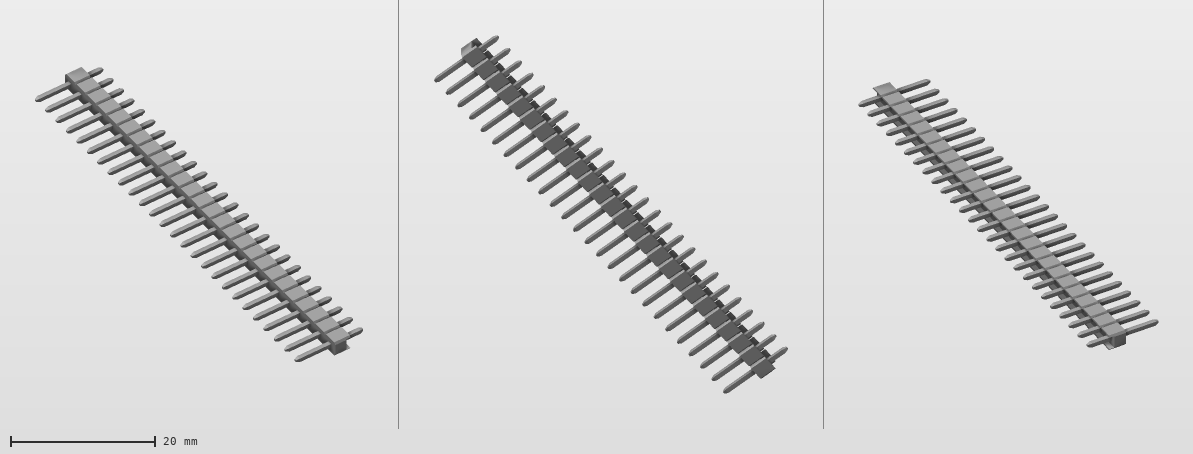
import cadquery as cq

pin_count = 26
strip_length = 66.05
pitch = strip_length / pin_count
body_height = 2.5

core_depth = 1.85
lip_reach = 0.7
lip_thickness = 0.25
body_depth = core_depth + lip_reach

chamfer_width = 0.25
chamfer_height = 0.3

pin_length = 11.2
pin_width = 0.65
pin_front_reach = 5.75
pin_offset = -0.1
tip_length = 0.5
tip_width = 0.3
pin_front = -pin_front_reach
pin_back = pin_front + pin_length


def segment_block():
    """One pitch of the body: a block along Y with its four long edges chamfered."""
    side = pitch / 2
    top = body_height / 2
    flat_edge = side - chamfer_width
    side_edge = top - chamfer_height
    outline = [
        (flat_edge, top),
        (side, side_edge),
        (side, -side_edge),
        (flat_edge, -top),
        (-flat_edge, -top),
        (-side, -side_edge),
        (-side, side_edge),
        (-flat_edge, top),
    ]
    return cq.Workplane("XZ").polyline(outline).close().extrude(-body_depth)


def back_channel():
    """Cutter for the channel that leaves a lip above and below, open to the back."""
    channel_height = body_height - 2 * lip_thickness
    channel = cq.Workplane("XY").box(pitch, lip_reach, channel_height, centered=(True, False, True))
    return channel.translate((0, core_depth, 0))


def pin_tip(base_y, direction):
    """Tapered pin end that starts at base_y and points along direction (+1 or -1) in Y."""
    base = cq.Workplane("XZ", origin=(0, base_y, 0)).rect(pin_width, pin_width)
    end = base.workplane(offset=-direction * tip_length).rect(tip_width, tip_width)
    return end.loft()


def pin():
    """Square pin along Y with a tapered tip at both ends."""
    shank_length = pin_length - 2 * tip_length
    shank = cq.Workplane("XY").box(pin_width, shank_length, pin_width, centered=(True, False, True))
    shank = shank.translate((0, pin_front + tip_length, 0))
    return shank.union(pin_tip(pin_front + tip_length, -1)).union(pin_tip(pin_back - tip_length, 1))


segment = segment_block().cut(back_channel()).union(pin().translate((pin_offset, 0, 0)))

first_x = -(strip_length - pitch) / 2
segments = [segment.translate((first_x + i * pitch, 0, 0)).val() for i in range(pin_count)]
strip = segments[0].fuse(*segments[1:]).clean()
result = cq.Workplane("XY").newObject(strip.Solids())